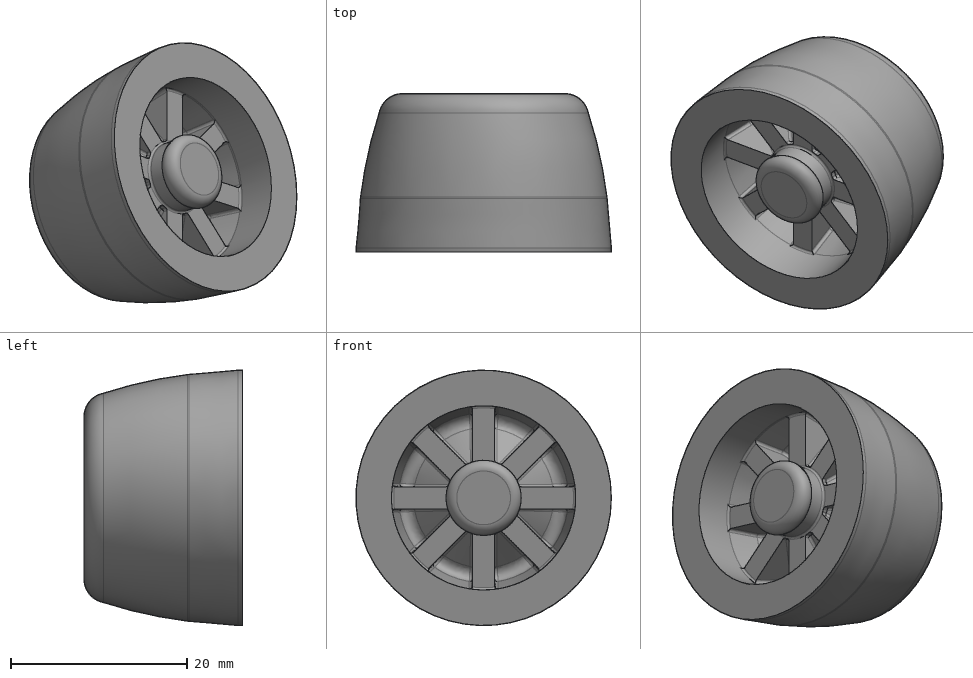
import cadquery as cq
import math

height = 18.0
rim_radius = 14.5
rim_height = 0.5
skirt_top_y = 6.07
skirt_top_radius = 14.02
dome_start_y = 6.26
dome_start_radius = 14.0
dome_middle_y = 11.2
dome_middle_radius = 13.14
shoulder_y = 15.8
shoulder_radius = 11.88
crown_middle_y = 17.4
crown_middle_radius = 10.9
end_radius = 9.1

bore_radius = 10.45
bore_depth = 5.0
bore_corner = 0.25

pocket_draft = math.radians(12.0)
pocket_corner_radius = 9.25
pocket_floor_angle = math.radians(45.0)
pocket_fillet = 1.0
spoke_count = 8
spoke_width = 2.5
spoke_foot_fillet = 0.33
spoke_pitch = 360 / spoke_count

cap_face_y = 1.0
cap_face_radius = 3.05
cap_round = 1.22
neck_radius = 4.0
neck_flare = 0.25

AXIS_START = (0, 0, 0)
AXIS_END = (0, 1, 0)


def turn(profile, angle=360):
    """Turn a half profile (x = radius, y = height) about the Y axis."""
    return profile.close().revolve(angle, AXIS_START, AXIS_END)


def make_body():
    return turn(
        cq.Workplane("XY")
        .lineTo(rim_radius, 0)
        .lineTo(rim_radius, rim_height)
        .lineTo(skirt_top_radius, skirt_top_y)
        .lineTo(dome_start_radius, dome_start_y)
        .threePointArc((dome_middle_radius, dome_middle_y), (shoulder_radius, shoulder_y))
        .threePointArc((crown_middle_radius, crown_middle_y), (end_radius, height))
        .lineTo(0, height)
    )


def make_bore():
    corner_point = bore_corner * (1 - math.sqrt(0.5))
    return turn(
        cq.Workplane("XY")
        .lineTo(bore_radius, 0)
        .lineTo(bore_radius, bore_depth - bore_corner)
        .threePointArc(
            (bore_radius - corner_point, bore_depth - corner_point),
            (bore_radius - bore_corner, bore_depth),
        )
        .lineTo(0, bore_depth)
    )


def make_hub():
    flare_top_y = bore_depth - neck_flare
    flare_point = neck_flare * (1 - math.sqrt(0.5))
    cap_middle_y = cap_face_y + cap_round
    undercut = math.sqrt(cap_round**2 - (neck_radius - cap_face_radius) ** 2)
    return turn(
        cq.Workplane("XY")
        .moveTo(0, cap_face_y)
        .lineTo(cap_face_radius, cap_face_y)
        .threePointArc(
            (cap_face_radius + cap_round, cap_middle_y),
            (neck_radius, cap_middle_y + undercut),
        )
        .lineTo(neck_radius, flare_top_y)
        .threePointArc(
            (neck_radius + flare_point, bore_depth - flare_point),
            (neck_radius + neck_flare, bore_depth),
        )
        .lineTo(0, bore_depth)
    )


def make_pocket():
    """Pocket between two neighbouring spokes, centred on the +X direction."""
    inner_radius = neck_radius + neck_flare
    mouth_y = bore_depth - bore_corner
    wall_depth = (bore_radius - pocket_corner_radius) / math.tan(pocket_draft)
    corner_y = bore_depth + wall_depth
    floor_rise = (pocket_corner_radius - inner_radius) * math.tan(pocket_floor_angle)
    sector = turn(
        cq.Workplane("XY")
        .moveTo(inner_radius, mouth_y)
        .lineTo(bore_radius, mouth_y)
        .lineTo(bore_radius, bore_depth)
        .lineTo(pocket_corner_radius, corner_y)
        .lineTo(inner_radius, corner_y - floor_rise),
        spoke_pitch,
    )
    sector = sector.edges(">Y").fillet(pocket_fillet)
    sector = sector.rotate(AXIS_START, AXIS_END, -spoke_pitch / 2)

    half_pitch = math.radians(spoke_pitch / 2)
    wedge_tip = spoke_width / 2 / math.sin(half_pitch)
    wedge_half_width = (rim_radius - wedge_tip) * math.tan(half_pitch)
    wedge = (
        cq.Workplane("XZ")
        .moveTo(wedge_tip, 0)
        .lineTo(rim_radius, wedge_half_width)
        .lineTo(rim_radius, -wedge_half_width)
        .close()
        .extrude(-height)
    )
    pocket = sector.intersect(wedge)
    side_edges = pocket.faces("%PLANE and #Y").edges("not <Y")
    return side_edges.fillet(spoke_foot_fillet)


def make_cavity():
    """Bore and all pockets joined into one hollow."""
    cavity = make_bore()
    pocket = make_pocket()
    for index in range(spoke_count):
        cavity = cavity.union(pocket.rotate(AXIS_START, AXIS_END, (index + 0.5) * spoke_pitch))
    return cavity


result = make_body().cut(make_cavity()).union(make_hub())